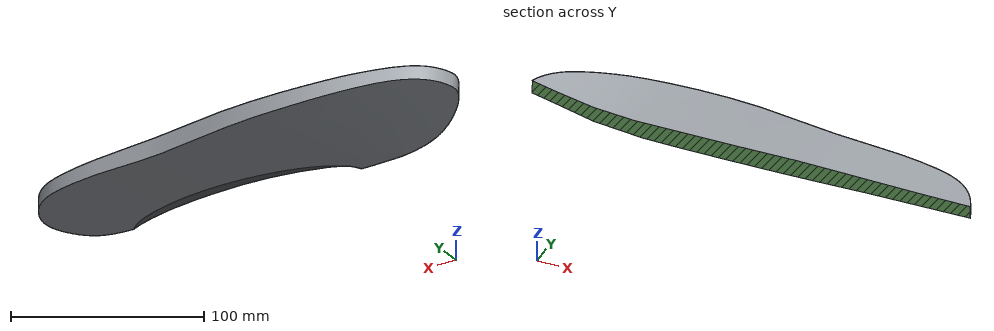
import cadquery as cq
import math

LENGTH = 250.0
SIDE_LEAN = 1.2
TOE_BEND_SKEW = 15.0
SWEEP_HALF_WIDTH = 150.0
LOFT_HEIGHT = 22.5
LOFT_BASE = -1.2

TOE_TIP = (0.2, 0.5)
HEEL_TIP = (LENGTH, -1.2)
OUTER_FRONT = [(9.0, 18.8), (27.0, 32.5), (45.2, 40.8)]
OUTER_BALL = (76.2, 45.8)
OUTER_REAR = [(115, 43.5), (135, 40.2), (160, 36.2), (190, 34.2), (217.5, 30.5), (235, 24.0), (246.0, 12.5)]
INNER_REAR = [(244.2, -16.8), (235, -25.8), (222.5, -29.5), (195, -28.8), (165, -28.0), (135, -27.8)]
INNER_FRONT = [(107.5, -31.2), (85, -34.0), (65, -34.8), (45, -34.0), (27.0, -29.5), (9.0, -18.0)]

TOP_TOE = [(-7.5, 22.0), (0, 20.5), (13.8, 17.2), (25, 14.8), (35, 13.0), (45, 11.8), (57.5, 11.0), (75, 10.5)]
TOP_REAR = [(112.5, 10.5), (150, 10.5), (185, 9.5), (220, 8.5)]
PROFILE_END = LENGTH + 25
TOP_END_Z = 8.2
SOLE_HEEL = (187.5, 0.5)
SOLE_LOW = (130, 0)
SOLE_BALL = (80, 0.5)
SOLE_TOE = [(62.5, 1.0), (45, 2.5), (35, 4.0), (25, 6.2), (13.8, 9.2), (0, 12.5), (-7.5, 14.5)]

SCOOP_CENTRE_X = 147.5
SCOOP_HALF_LENGTH = 70.0
SCOOP_HALF_HEIGHT = 9.5
SCOOP_RISE = 7.0
SCOOP_EDGE_Y = -28.0
SCOOP_REACH = 17.5


def outline(height, lean):
    """Closed plan outline, moved inward by lean at the forward +Y side."""
    def leaned(point):
        return (point[0], point[1] - lean)

    front = [leaned(point) for point in OUTER_FRONT]
    points = [TOE_TIP] + front + [leaned(OUTER_BALL)] + OUTER_REAR + [HEEL_TIP] + INNER_REAR + INNER_FRONT
    vertices = [cq.Vector(x, y, height) for x, y in points]
    return cq.Wire.assembleEdges([cq.Edge.makeSpline(vertices, periodic=True)])


def plan_body():
    bottom = outline(LOFT_BASE, 0)
    top = outline(LOFT_BASE + LOFT_HEIGHT, SIDE_LEAN)
    return cq.Workplane(cq.Solid.makeLoft([bottom, top], True))


def side_body():
    """Curved sheet extruded along the slanted toe bend line."""
    skew = math.radians(TOE_BEND_SKEW)
    stretch = math.cos(skew)

    def square_to_bend(points):
        return [(x * stretch, z) for x, z in points]

    top = square_to_bend(TOP_TOE + TOP_REAR) + [(PROFILE_END, TOP_END_Z)]
    sole_toe = square_to_bend(SOLE_TOE)
    sole_heel, low, ball = square_to_bend([SOLE_HEEL, SOLE_LOW, SOLE_BALL])
    profile = (
        cq.Workplane("XZ", origin=(0, SWEEP_HALF_WIDTH, 0)).moveTo(*top[0])
        .spline(top[1:], includeCurrent=True)
        .lineTo(PROFILE_END, sole_heel[1])
        .lineTo(*sole_heel)
        .threePointArc(low, ball)
        .spline(sole_toe, includeCurrent=True)
        .close()
    )
    sheet = profile.extrude(2 * SWEEP_HALF_WIDTH)
    return sheet.rotate((0, 0, 0), (0, 0, 1), -TOE_BEND_SKEW)


def instep_scoop():
    """Tilted elliptical cylinder that thins the sole towards the instep edge."""
    tilt = math.degrees(math.atan2(SCOOP_RISE, SCOOP_REACH))
    cylinder = (
        cq.Workplane("XZ", origin=(0, SCOOP_EDGE_Y, 0))
        .center(SCOOP_CENTRE_X, SCOOP_RISE - SCOOP_HALF_HEIGHT)
        .ellipse(SCOOP_HALF_LENGTH, SCOOP_HALF_HEIGHT)
        .extrude(SWEEP_HALF_WIDTH, both=True)
    )
    return cylinder.rotate((0, SCOOP_EDGE_Y, SCOOP_RISE), (1, SCOOP_EDGE_Y, SCOOP_RISE), -tilt)


result = plan_body().intersect(side_body()).cut(instep_scoop())